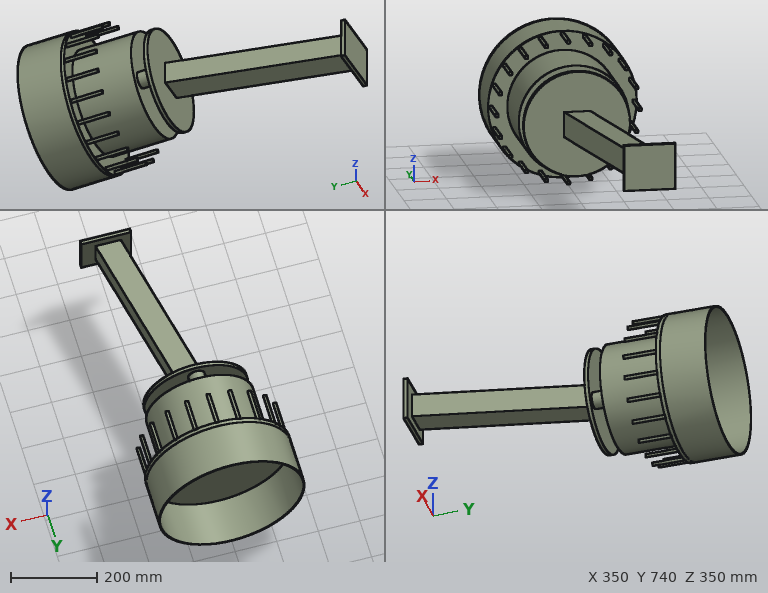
import cadquery as cq
import math

TOTAL_LENGTH = 740.0

DRUM_DIAMETER = 350.0
DRUM_LENGTH = 120.0
DRUM_WALL = 2.0
DRUM_FLOOR = 9.5

HUB_DIAMETER = 260.0
HUB_LENGTH = 150.0

ROD_COUNT = 20
FIRST_ROD_ANGLE = 0.0
ROD_DIAMETER = 8.0
ROD_LENGTH = 80.0
ROD_CIRCLE_DIAMETER = 337.0

POST_COUNT = 3
POST_DIAMETER = 40.0
POST_LENGTH = 30.0
POST_CIRCLE_DIAMETER = 180.0
FIRST_POST_ANGLE = 90.0

DISC_DIAMETER = 250.0
DISC_THICKNESS = 9.5

ARM_SIZE = 60.0
ARM_START_X = 1.0
ARM_TILT = 12.0

END_PLATE_CENTER_X = 95.0
END_PLATE_WIDTH = 120.0
END_PLATE_HEIGHT = 108.0
END_PLATE_THICKNESS = 9.5

DRUM_BACK = TOTAL_LENGTH / 2
DRUM_FRONT = DRUM_BACK - DRUM_LENGTH
HUB_FRONT = DRUM_FRONT - HUB_LENGTH
DISC_BACK = HUB_FRONT - POST_LENGTH
DISC_FRONT = DISC_BACK - DISC_THICKNESS
END_PLATE_FRONT = -TOTAL_LENGTH / 2
END_PLATE_BACK = END_PLATE_FRONT + END_PLATE_THICKNESS

ARM_LENGTH_Y = DISC_FRONT - END_PLATE_BACK
ARM_END_X = ARM_START_X + ARM_LENGTH_Y * math.tan(math.radians(ARM_TILT))
ARM_CUT_WIDTH = ARM_SIZE / math.cos(math.radians(ARM_TILT))


def cylinder(diameter, start_y, length, x=0.0, z=0.0):
    """Cylinder running from start_y toward -Y."""
    plane = cq.Workplane("XZ", origin=(x, start_y, z))
    return plane.circle(diameter / 2).extrude(length)


def ring_of_cylinders(count, first_angle, circle_diameter, diameter, start_y, length):
    """Equally spaced cylinders around the Y axis, as a list."""
    cylinders = []
    for index in range(count):
        angle = math.radians(first_angle + index * 360.0 / count)
        x = circle_diameter / 2 * math.cos(angle)
        z = circle_diameter / 2 * math.sin(angle)
        cylinders.append(cylinder(diameter, start_y, length, x, z))
    return cylinders


def hollow_drum():
    """Thin-walled drum, open at the back, with a floor that carries the hub and the rods."""
    shell = cylinder(DRUM_DIAMETER, DRUM_BACK, DRUM_LENGTH)
    cavity = cylinder(DRUM_DIAMETER - 2 * DRUM_WALL, DRUM_BACK, DRUM_LENGTH - DRUM_FLOOR)
    return shell.cut(cavity)


def slanted_arm():
    """Square bar from the disc to the end plate, with both ends cut square to Y."""
    half_width = ARM_CUT_WIDTH / 2
    outline = [
        (ARM_START_X - half_width, DISC_FRONT),
        (ARM_START_X + half_width, DISC_FRONT),
        (ARM_END_X + half_width, END_PLATE_BACK),
        (ARM_END_X - half_width, END_PLATE_BACK),
    ]
    return cq.Workplane("XY").polyline(outline).close().extrude(ARM_SIZE / 2, both=True)


def end_plate():
    """Rectangular plate at the free end of the arm."""
    plane = cq.Workplane("XZ", origin=(END_PLATE_CENTER_X, END_PLATE_BACK, 0))
    return plane.rect(END_PLATE_WIDTH, END_PLATE_HEIGHT).extrude(END_PLATE_THICKNESS)


drum = hollow_drum()
hub = cylinder(HUB_DIAMETER, DRUM_FRONT, HUB_LENGTH)
disc = cylinder(DISC_DIAMETER, DISC_BACK, DISC_THICKNESS)
rods = ring_of_cylinders(
    ROD_COUNT, FIRST_ROD_ANGLE, ROD_CIRCLE_DIAMETER, ROD_DIAMETER, DRUM_FRONT, ROD_LENGTH
)
posts = ring_of_cylinders(
    POST_COUNT, FIRST_POST_ANGLE, POST_CIRCLE_DIAMETER, POST_DIAMETER, HUB_FRONT, POST_LENGTH
)

result = drum
for feature in [hub, *rods, *posts, disc, slanted_arm(), end_plate()]:
    result = result.union(feature)